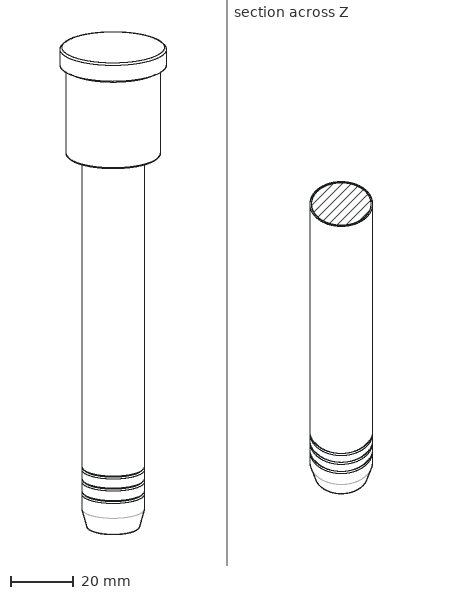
import cadquery as cq
import math

total_length = 160.0
head_diameter = 34.0
head_height = 6.0
sleeve_diameter = 30.0
sleeve_bottom = 124.2
pin_diameter = 20.0

head_chamfer = 0.6
sleeve_chamfer = 0.5

head_relief_half_width = 0.5
neck_width = 1.0
neck_depth = 0.5

groove_centers = (11.5, 15.7, 19.7)
groove_half_width = 0.5

tip_height = 6.0
tip_angle = 15.0
tip_fillet = 0.5


def cylinder(diameter, bottom, top):
    return cq.Workplane("XY").workplane(offset=bottom).circle(diameter / 2).extrude(top - bottom)


def ring_cutter(diameter, depth, bottom, top):
    """Ring that cuts a square groove of the given depth into a shaft."""
    outer = cylinder(diameter + 2 * depth, bottom, top)
    return outer.cut(cylinder(diameter - 2 * depth, bottom, top))


def vee_cutter(diameter, half_width, center):
    """Diamond-section ring that cuts a 90 degree vee groove into a shaft."""
    radius = diameter / 2
    diamond = [
        (radius - half_width, center),
        (radius, center - half_width),
        (radius + half_width, center),
        (radius, center + half_width),
    ]
    return cq.Workplane("XZ").polyline(diamond).close().revolve(360, (0, 0), (0, 1))


def make_head():
    head = cylinder(head_diameter, total_length - head_height, total_length)
    return head.faces(">Z").edges().chamfer(head_chamfer)


def make_sleeve():
    top = total_length - head_height
    sleeve = cylinder(sleeve_diameter, sleeve_bottom, top)
    sleeve = sleeve.faces("<Z").edges().chamfer(sleeve_chamfer)
    return sleeve.cut(vee_cutter(sleeve_diameter, head_relief_half_width, top - head_relief_half_width))


def make_pin():
    pin = cylinder(pin_diameter, 0, sleeve_bottom)
    tip_inset = tip_height * math.tan(math.radians(tip_angle))
    pin = pin.faces("<Z").edges().chamfer(tip_height, tip_inset)
    pin = pin.faces("<Z").edges().fillet(tip_fillet)
    pin = pin.cut(ring_cutter(pin_diameter, neck_depth, sleeve_bottom - neck_width, sleeve_bottom))
    for center in groove_centers:
        pin = pin.cut(vee_cutter(pin_diameter, groove_half_width, center))
    return pin


result = make_pin().union(make_sleeve()).union(make_head())